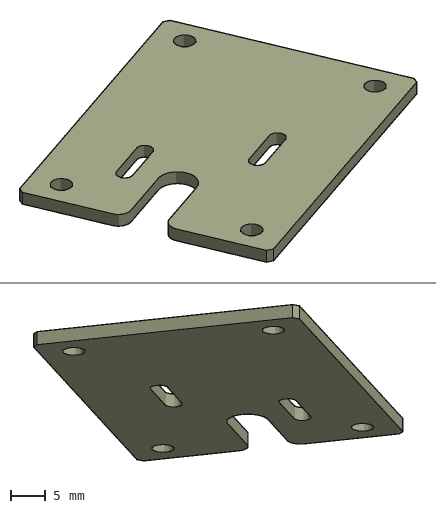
import cadquery as cq

width = 40.0
length = 51.5
thickness = 2.0
corner_chamfer = 0.75

hole_diameter = 3.2
hole_spacing_x = 30.0
hole_spacing_y = 43.0

slot_width = 2.5
slot_length = 9.5
slot_offset_x = 8.0
right_slot_y = -0.5
left_slot_y = -11.5

notch_width = 6.0
notch_depth = 14.5
notch_mouth_radius = 2.0


def make_plate():
    plate = cq.Workplane("XY").box(width, length, thickness)
    return plate.edges("|Z").chamfer(corner_chamfer)


def cut_notch(plate):
    """Cut the notch, with its mouth flaring out in two quarter arcs."""
    half_width = notch_width / 2
    mouth_half_width = half_width + notch_mouth_radius
    edge_y = -length / 2
    flare_end_y = edge_y + notch_mouth_radius
    tip_y = edge_y + notch_depth
    arc_start_y = tip_y - half_width
    notch = (
        cq.Workplane("XY")
        .workplane(offset=-thickness / 2)
        .moveTo(-mouth_half_width, edge_y)
        .radiusArc((-half_width, flare_end_y), -notch_mouth_radius)
        .lineTo(-half_width, arc_start_y)
        .threePointArc((0, tip_y), (half_width, arc_start_y))
        .lineTo(half_width, flare_end_y)
        .radiusArc((mouth_half_width, edge_y), -notch_mouth_radius)
        .close()
        .extrude(thickness)
    )
    return plate.cut(notch)


def cut_mounting_holes(plate):
    return (
        plate.faces(">Z")
        .workplane(origin=(0, 0, 0))
        .rect(hole_spacing_x, hole_spacing_y, forConstruction=True)
        .vertices()
        .hole(hole_diameter)
    )


def cut_slots(plate):
    slot_centers = [(slot_offset_x, right_slot_y), (-slot_offset_x, left_slot_y)]
    return (
        plate.faces(">Z")
        .workplane(origin=(0, 0, 0))
        .pushPoints(slot_centers)
        .slot2D(slot_length, slot_width, angle=90)
        .cutThruAll()
    )


result = cut_slots(cut_mounting_holes(cut_notch(make_plate())))